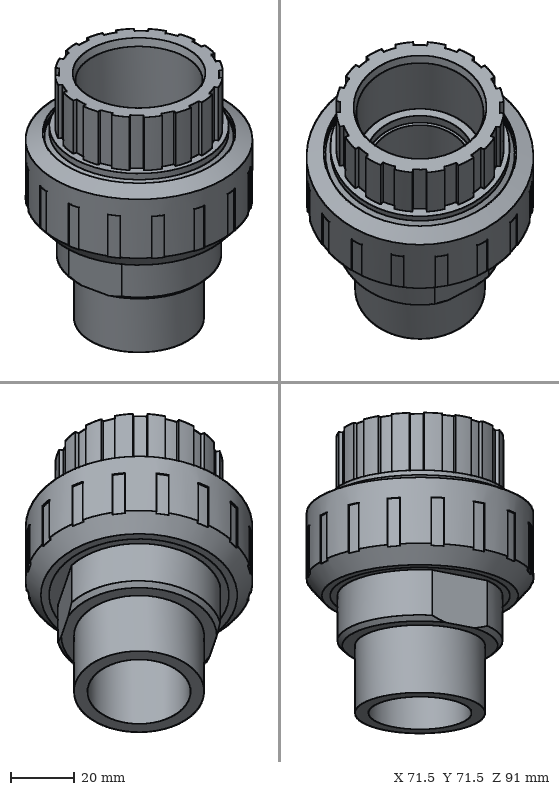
import cadquery as cq


overall_height = 91.0
shoulder_z = 22.4
nut_bottom_z = 38.95
nut_lower_edge_z = 44.5
groove_top_z = 59.9
joint_z = 61.9
socket_floor_z = 65.3
nut_upper_edge_z = 66.3
nut_top_z = 69.0
collar_top_z = 71.25

pipe_diameter = 41.0
tail_bore_diameter = 32.5
wrench_body_diameter = 52.05
wrench_flat_distance = 47.9
wrench_chamfer = 1.55
neck_diameter = 56.7

tooth_count = 16
tooth_width = 5.7
tooth_tip_diameter = 53.0
tooth_root_diameter = 50.4
collar_diameter = 56.5
flange_diameter = 59.6
flange_cone_height = (flange_diameter - collar_diameter) / 2
socket_diameter = 40.0
socket_mouth_diameter = 41.9
socket_lead_in = 2.6
socket_end_bore_diameter = 34.5

nut_diameter = 71.5
nut_bottom_diameter = 61.9
nut_mouth_diameter = 60.7
groove_count = 16
groove_width = 4.0
groove_depth = 0.5

flange_top_z = nut_top_z - flange_cone_height


def cylinder(diameter, bottom_z, top_z):
    """Solid cylinder on the Z axis."""
    return cq.Workplane("XY").workplane(offset=bottom_z).circle(diameter / 2).extrude(top_z - bottom_z)


def cone(bottom_diameter, bottom_z, top_diameter, top_z):
    """Solid truncated cone on the Z axis."""
    outline = [(0, bottom_z), (bottom_diameter / 2, bottom_z), (top_diameter / 2, top_z), (0, top_z)]
    return cq.Workplane("XZ").polyline(outline).close().revolve(360, (0, 0, 0), (0, 1, 0))


def radial_bars(count, width, length, bottom_z, top_z):
    """Bars running outward from the axis at equal angles, the first one along +X."""
    height = top_z - bottom_z
    bars = cq.Workplane("XY")
    for index in range(count):
        bar = cq.Workplane("XY").box(length, width, height, centered=(False, True, False))
        bar = bar.rotate((0, 0, 0), (0, 0, 1), index * 360 / count)
        bars = bars.union(bar.translate((0, 0, bottom_z)))
    return bars


def make_tail():
    """Lower body: spigot, wrench body and neck with one bore through all of them."""
    wrench_body = cylinder(wrench_body_diameter, shoulder_z, nut_bottom_z)
    wrench_body = wrench_body.faces("<Z").chamfer(wrench_chamfer)
    flats = cq.Workplane("XY").box(wrench_body_diameter, wrench_flat_distance, overall_height,
                                   centered=(True, True, False))
    wrench_body = wrench_body.intersect(flats)

    tail = cylinder(pipe_diameter, 0, joint_z)
    tail = tail.union(wrench_body)
    tail = tail.union(cylinder(neck_diameter, nut_bottom_z, joint_z))
    return tail.cut(cylinder(tail_bore_diameter, 0, joint_z))


def make_socket_end():
    """Upper body: toothed grip above a collar that flares into the flange held by the nut."""
    teeth = radial_bars(tooth_count, tooth_width, tooth_tip_diameter, collar_top_z, overall_height)
    teeth = teeth.intersect(cylinder(tooth_tip_diameter, collar_top_z, overall_height))

    body = cylinder(flange_diameter, joint_z, flange_top_z)
    body = body.union(cone(flange_diameter, flange_top_z, collar_diameter, nut_top_z))
    body = body.union(cylinder(collar_diameter, nut_top_z, collar_top_z))
    body = body.union(cylinder(tooth_root_diameter, collar_top_z, overall_height))
    body = body.union(teeth)

    lead_in_z = overall_height - socket_lead_in
    body = body.cut(cylinder(socket_end_bore_diameter, joint_z, socket_floor_z))
    body = body.cut(cylinder(socket_diameter, socket_floor_z, lead_in_z))
    return body.cut(cone(socket_diameter, lead_in_z, socket_mouth_diameter, overall_height))


def make_nut():
    """Nut: chamfered ring with grip grooves, stepped inside to fit the neck and the flange."""
    nut = cone(nut_bottom_diameter, nut_bottom_z, nut_diameter, nut_lower_edge_z)
    nut = nut.union(cylinder(nut_diameter, nut_lower_edge_z, nut_upper_edge_z))
    nut = nut.union(cone(nut_diameter, nut_upper_edge_z, nut_mouth_diameter, nut_top_z))

    groove_floor_diameter = nut_diameter - 2 * groove_depth
    grooves = radial_bars(groove_count, groove_width, nut_diameter, nut_bottom_z, groove_top_z)
    nut = nut.cut(grooves.cut(cylinder(groove_floor_diameter, nut_bottom_z, groove_top_z)))

    nut = nut.cut(cylinder(neck_diameter, nut_bottom_z, joint_z))
    nut = nut.cut(cylinder(flange_diameter, joint_z, flange_top_z))
    return nut.cut(cylinder(nut_mouth_diameter, flange_top_z, nut_top_z))


tail = make_tail()
socket_end = make_socket_end()
nut = make_nut()

result = cq.Compound.makeCompound([tail.val(), socket_end.val(), nut.val()])